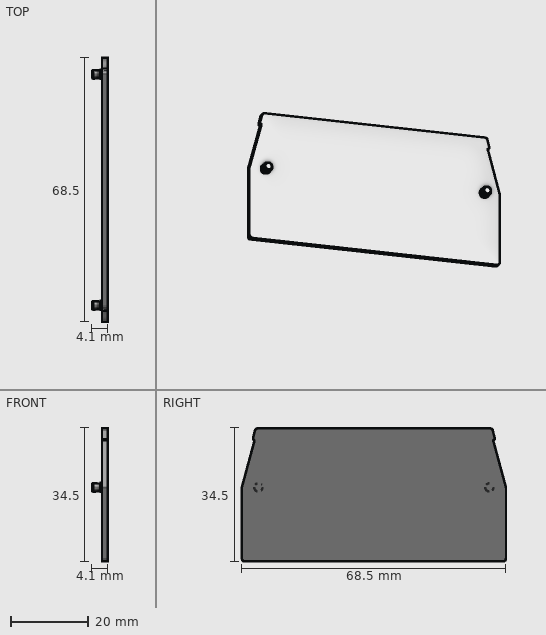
import cadquery as cq

width = 68.5
height = 34.5
plate_thickness = 1.5
corner_radius = 0.8

shoulder_height = 19.2
notch_half_width = 30.95
notch_drop = 3.2
head_half_width = 31.4
head_side_drop = 2.75
head_top_half_width = 30.7

total_depth = 4.1
pin_length = total_depth - plate_thickness
pin_half_spacing = 29.95
pin_radius = 1.15
neck_radius = 1.0
collar_radius = 1.2
collar_length = 0.35
neck_length = 0.2
tip_chamfer_depth = 0.3
tip_chamfer_length = 0.4


def make_plate():
    right_side = [
        (width / 2, 0),
        (width / 2, shoulder_height),
        (notch_half_width, height - notch_drop),
        (head_half_width, height - head_side_drop),
        (head_top_half_width, height),
    ]
    left_side = [(-y, z) for y, z in reversed(right_side)]
    plate = cq.Workplane("YZ").polyline(right_side + left_side).close().extrude(plate_thickness)
    bottom_corners = plate.edges("|X and <Z")
    top_corners = plate.edges("|X and >Z")
    shoulders = plate.edges(cq.selectors.BoxSelector(
        (0, -width, shoulder_height - corner_radius),
        (plate_thickness, width, shoulder_height + corner_radius),
    )).edges("|X")
    rounded_edges = bottom_corners.vals() + top_corners.vals() + shoulders.vals()
    return plate.newObject(rounded_edges).fillet(corner_radius)


def make_pin(y_center):
    half_section = [
        (0, 0),
        (collar_radius, 0),
        (collar_radius, collar_length),
        (neck_radius, collar_length + neck_length),
        (pin_radius, pin_length - tip_chamfer_length),
        (pin_radius - tip_chamfer_depth, pin_length),
        (0, pin_length),
    ]
    pin_plane = cq.Plane(origin=(0, y_center, shoulder_height), xDir=(0, 1, 0), normal=(0, 0, 1))
    return cq.Workplane(pin_plane).polyline(half_section).close().revolve(360, (0, 0), (0, 1))


result = make_plate()
for side in (-1, 1):
    result = result.union(make_pin(side * pin_half_spacing))